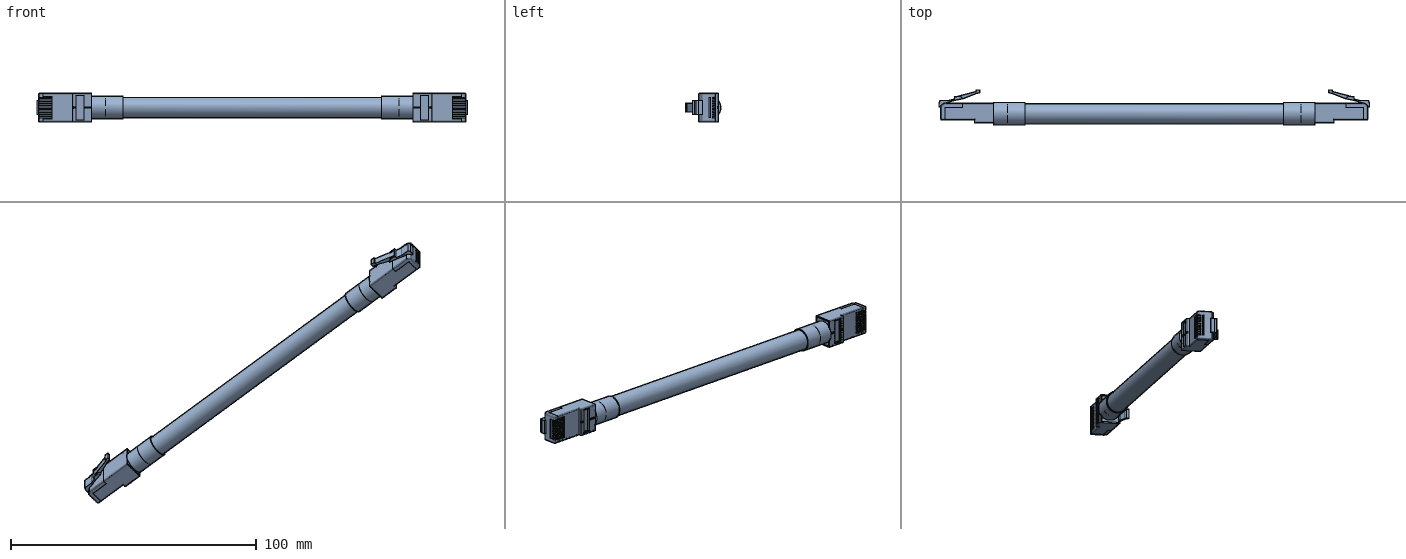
import cadquery as cq

LEAD_LENGTH = 175.2

CABLE_DIAMETER = 8.4
SLEEVE_DIAMETER = 9.3
CABLE_START = 27.9
SLEEVE_END = 35.0

PLUG_END = 22.3
PLUG_WIDTH = 11.7
PLUG_TOP = 4.4
NOSE_FACE = 0.7
NOSE_TOP = 3.3
NOSE_SLOPE_END = 2.1
FRONT_BOTTOM = -2.5
REAR_BOTTOM = -3.7
STEP_START = 14.4
EDGE_RADIUS = 0.4

SHIELD_THICKNESS = 0.5
SHIELD_START = 2.5
LATCH_CUTOUT_END = 9.6
LATCH_CUTOUT_BOTTOM = 2.6
CONTACT_CUTOUT_END = 6.1
CONTACT_CUTOUT_WIDTH = 9.1
SEAM_WIDTH = 0.5
WINDOW_START = 16.0
WINDOW_END = 19.1
WINDOW_WIDTH = 10.0

SLOT_COUNT = 8
SLOT_PITCH = 1.12
SLOT_WIDTH = 0.5
SLOT_TOP = -1.2
SLIT_WIDTH = 8.2
SLIT_TOP = 0.2
SLIT_HEIGHT = 0.5
SLIT_DEPTH = 0.5

LATCH_WIDTH = 5.8
TAIL_WIDTH = 3.7
CATCH_BOTTOM = 2.8
CATCH_TOP = 5.5
CATCH_THICKNESS = 2.3
CATCH_BEVEL_WIDTH = 0.4
CATCH_BEVEL_HEIGHT = 1.0
CATCH_LEDGE = 4.2
SPRING_START = 4.0
SPRING_BOTTOM = 4.7
SHOULDER_START = 6.3
SHOULDER_BOTTOM = 5.5
SHOULDER_FOOT = 6.1
SHOULDER_TOP = 7.0
SHOULDER_FLAT_END = 8.8
SHOULDER_END = 9.8
TAIL_TOP_START = 6.8
TAIL_BEND = 15.0
TAIL_BEND_BOTTOM = 8.2
TAIL_BEND_TOP = 9.1
TAIL_END = 16.6
TAIL_END_BOTTOM = 8.5
TAIL_TIP_TOP = 9.72


def box(x_range, y_range, width):
    """Box between two X and two Y places, centred on Z."""
    x_start, x_end = x_range
    y_start, y_end = y_range
    block = cq.Workplane("XY").box(x_end - x_start, y_end - y_start, width)
    return block.translate(((x_start + x_end) / 2, (y_start + y_end) / 2, 0))


def plate(points, width):
    """Closed outline in XY, extruded evenly to both sides of Z = 0."""
    return cq.Workplane("XY").polyline(points).close().extrude(width / 2, both=True)


def rod(start, end, diameter):
    """Round bar along X."""
    return cq.Workplane("YZ", origin=(start, 0, 0)).circle(diameter / 2).extrude(end - start)


def make_plug_outline():
    """Whole plug without its latch: sloped nose, flat top and a deeper rear, all with rounded edges."""
    block = plate(
        [
            (NOSE_FACE, FRONT_BOTTOM),
            (NOSE_FACE, NOSE_TOP),
            (NOSE_SLOPE_END, PLUG_TOP),
            (PLUG_END, PLUG_TOP),
            (PLUG_END, REAR_BOTTOM),
            (STEP_START, REAR_BOTTOM),
            (STEP_START, FRONT_BOTTOM),
        ],
        PLUG_WIDTH,
    )
    nose_and_sides = block.faces(">Z or <Z or <X").edges("not >X")
    step_edge = block.faces("<Y").edges("<X")
    return nose_and_sides.add(step_edge).fillet(EDGE_RADIUS)


def make_shield_skin():
    """Outer skin of the plug with its three cutouts, before the window and the seam are cut."""
    wall = SHIELD_THICKNESS
    core = plate(
        [
            (0, FRONT_BOTTOM + wall),
            (0, PLUG_TOP - wall),
            (PLUG_END, PLUG_TOP - wall),
            (PLUG_END, REAR_BOTTOM + wall),
            (STEP_START + wall, REAR_BOTTOM + wall),
            (STEP_START + wall, FRONT_BOTTOM + wall),
        ],
        PLUG_WIDTH - 2 * wall,
    )
    nose_cutout = box((0, SHIELD_START), (REAR_BOTTOM, PLUG_TOP), PLUG_WIDTH)
    latch_cutout = box((0, LATCH_CUTOUT_END), (LATCH_CUTOUT_BOTTOM, PLUG_TOP), PLUG_WIDTH)
    contact_cutout = box((0, CONTACT_CUTOUT_END), (FRONT_BOTTOM, FRONT_BOTTOM + wall), CONTACT_CUTOUT_WIDTH)
    return make_plug_outline().cut(core).cut(nose_cutout).cut(latch_cutout).cut(contact_cutout)


def make_window():
    """Recess in the deep rear underside, through the shield and into the housing."""
    return box((WINDOW_START, WINDOW_END), (REAR_BOTTOM, FRONT_BOTTOM), WINDOW_WIDTH)


def make_shield():
    seam = box((STEP_START, PLUG_END), (REAR_BOTTOM, REAR_BOTTOM + SHIELD_THICKNESS), SEAM_WIDTH)
    return make_shield_skin().cut(make_window()).cut(seam)


def make_latch():
    catch = plate(
        [
            (0, CATCH_BOTTOM),
            (0, CATCH_TOP - CATCH_BEVEL_HEIGHT),
            (CATCH_BEVEL_WIDTH, CATCH_TOP),
            (SPRING_START, CATCH_TOP),
            (SPRING_START, SPRING_BOTTOM),
            (CATCH_THICKNESS, CATCH_LEDGE),
            (CATCH_THICKNESS, CATCH_BOTTOM),
        ],
        LATCH_WIDTH,
    )
    spring = plate(
        [
            (SPRING_START, SPRING_BOTTOM),
            (SPRING_START, CATCH_TOP),
            (SHOULDER_START, SHOULDER_FOOT),
            (SHOULDER_START, SHOULDER_TOP),
            (SHOULDER_FLAT_END, SHOULDER_TOP),
            (SHOULDER_END, SHOULDER_FOOT),
            (SHOULDER_START, SHOULDER_BOTTOM),
        ],
        LATCH_WIDTH,
    )
    tail = plate(
        [
            (SHOULDER_START, SHOULDER_FOOT),
            (SHOULDER_START, TAIL_TOP_START),
            (TAIL_BEND, TAIL_BEND_TOP),
            (TAIL_BEND, TAIL_TIP_TOP),
            (TAIL_END, TAIL_TIP_TOP),
            (TAIL_END, TAIL_END_BOTTOM),
            (TAIL_BEND, TAIL_BEND_BOTTOM),
            (SHOULDER_END, SHOULDER_FOOT),
        ],
        TAIL_WIDTH,
    )
    return catch.union(spring).union(tail)


def make_housing():
    """Plastic core filling the shield, with the nose, the contact slots and the latch."""
    housing = make_plug_outline().cut(make_shield_skin()).cut(make_window())
    slot = box((NOSE_FACE, CONTACT_CUTOUT_END), (FRONT_BOTTOM, SLOT_TOP), SLOT_WIDTH)
    for index in range(SLOT_COUNT):
        slot_z = (index - (SLOT_COUNT - 1) / 2) * SLOT_PITCH
        housing = housing.cut(slot.translate((0, 0, slot_z)))
    slit = box((NOSE_FACE, NOSE_FACE + SLIT_DEPTH), (SLIT_TOP - SLIT_HEIGHT, SLIT_TOP), SLIT_WIDTH)
    return housing.cut(slit).union(make_latch())


def make_sleeve():
    bore = rod(CABLE_START, SLEEVE_END, CABLE_DIAMETER)
    return rod(PLUG_END, SLEEVE_END, SLEEVE_DIAMETER).cut(bore)


def make_cable():
    half_cable = LEAD_LENGTH / 2 - CABLE_START
    return rod(-half_cable, half_cable, CABLE_DIAMETER)


bodies = [make_cable().val()]
for end_body in (make_housing(), make_shield(), make_sleeve()):
    left_body = end_body.translate((-LEAD_LENGTH / 2, 0, 0))
    right_body = left_body.mirror("YZ")
    bodies.extend(left_body.solids().vals())
    bodies.extend(right_body.solids().vals())

result = cq.Compound.makeCompound(bodies)